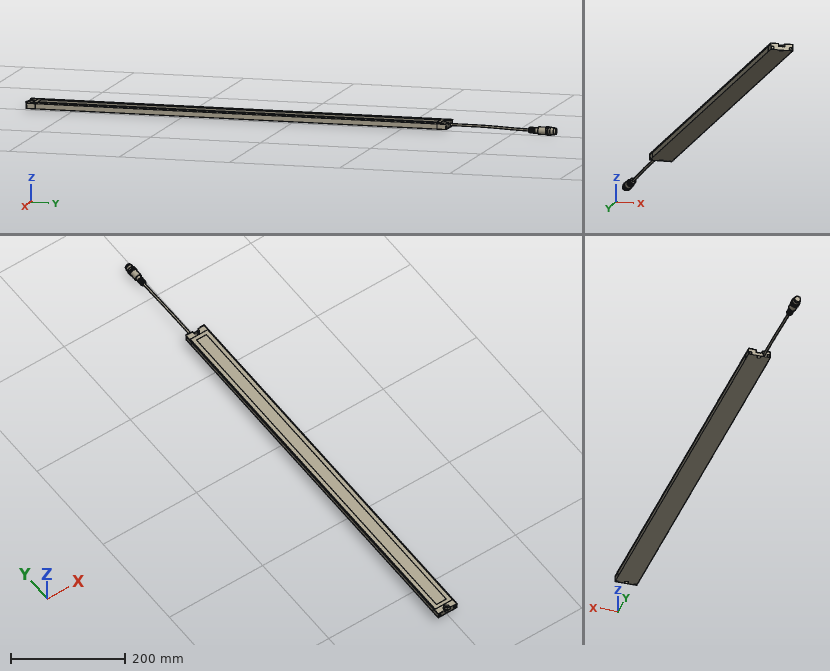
import cadquery as cq

BAR_WIDTH = 40.0
BAR_LENGTH = 765.0
BAR_HEIGHT = 11.5
OVERALL_LENGTH = 955.62
OVERALL_HEIGHT = 17.5
BAR_END = BAR_LENGTH / 2

LIP_THICKNESS = 0.4
LIP_END_OVERHANG = 1.0
LIP_NOTCH_WIDTH = 23.0
SIDE_GROOVE_OFFSET = 2.0
SIDE_GROOVE_END_MARGIN = 2.5

CAP_SIDE_LENGTH = 17.5
SEAM_WIDTH = 0.3
SEAM_DEPTH = 0.15

CAP_TOP_LENGTH = 12.5
RIM_WIDTH = 1.5
COVER_DEPTH = 0.3

WINDOW_WIDTH = 21.0
WINDOW_END_MARGIN = 20.0
WINDOW_DEPTH = 0.3

HOLE_DIAMETER = 6.8
HOLE_END_DISTANCE = 5.0
SEAT_WIDTH = 11.5
SEAT_REACH = 10.0
SEAT_DEPTH = 5.0

SCREW_DIAMETER = 5.0
SCREW_SPACING = 33.0
SCREW_HEIGHT = 3.4
SCREW_DEPTH = 1.5

CABLE_X = -8.5
CABLE_DIAMETER = 4.0
CABLE_EXIT_HEIGHT = 4.2
CABLE_STRAIGHT = 45.0
CABLE_INSERTION = 5.0

FLANGE_DIAMETER = 15.0
PLUG_HEAD_SECTIONS = (
    (3.6, 11.0),
    (6.0, 13.0),
    (3.5, FLANGE_DIAMETER),
    (2.0, 13.0),
    (2.5, FLANGE_DIAMETER),
    (14.0, 13.5),
    (5.8, 10.0),
)

RIB_COUNT = 3
RIB_LENGTH = 1.9
RIB_DIAMETER = 10.5
RIB_CORE_DIAMETER = 9.0
RIB_SECTIONS = ((RIB_LENGTH, RIB_DIAMETER), (RIB_LENGTH, RIB_CORE_DIAMETER)) * RIB_COUNT
PLUG_SECTIONS = PLUG_HEAD_SECTIONS + RIB_SECTIONS

PLUG_END = OVERALL_LENGTH - BAR_END
PLUG_AXIS_HEIGHT = BAR_HEIGHT - OVERALL_HEIGHT + FLANGE_DIAMETER / 2


def block(width, length, bottom, top):
    """Box centred in X and Y between two heights."""
    return cq.Workplane("XY", origin=(0, 0, bottom)).rect(width, length).extrude(top - bottom)


def rod(x, y, z, length, diameter):
    """Cylinder along +Y from the point (x, y, z)."""
    plane = cq.Plane(origin=(x, y, z), xDir=(1, 0, 0), normal=(0, 1, 0))
    return cq.Workplane(plane).circle(diameter / 2).extrude(length)


def make_housing():
    """Bar body with notched end overhangs, side grooves, sunk cover and recessed window."""
    lip_bottom = BAR_HEIGHT - LIP_THICKNESS
    body_length = BAR_LENGTH - 2 * LIP_END_OVERHANG
    body = block(BAR_WIDTH, body_length, 0, BAR_HEIGHT)
    lip = block(BAR_WIDTH, BAR_LENGTH, lip_bottom, BAR_HEIGHT)
    notch = block(LIP_NOTCH_WIDTH, BAR_LENGTH, lip_bottom, BAR_HEIGHT)

    cover_width = BAR_WIDTH - 2 * RIM_WIDTH
    cover_length = BAR_LENGTH - 2 * CAP_TOP_LENGTH
    cover_top = BAR_HEIGHT - COVER_DEPTH
    cover_recess = block(cover_width, cover_length, cover_top, BAR_HEIGHT)
    window_length = BAR_LENGTH - 2 * WINDOW_END_MARGIN
    window = block(WINDOW_WIDTH, window_length, cover_top - WINDOW_DEPTH, BAR_HEIGHT)

    groove_top = BAR_HEIGHT - SIDE_GROOVE_OFFSET
    groove_bottom = groove_top - SEAM_WIDTH
    groove_length = BAR_LENGTH - 2 * SIDE_GROOVE_END_MARGIN
    groove = block(BAR_WIDTH, groove_length, groove_bottom, groove_top)
    groove_core = block(BAR_WIDTH - 2 * SEAM_DEPTH, groove_length, groove_bottom, groove_top)
    groove = groove.cut(groove_core)
    return lip.cut(notch).union(body).cut(cover_recess).cut(window).cut(groove)


def mounting_hole(side):
    """Through hole and the round-bottomed screw-head seat above it, for one end."""
    hole_y = side * (BAR_END - HOLE_END_DISTANCE)
    hole = cq.Workplane("XY", origin=(0, hole_y, 0)).circle(HOLE_DIAMETER / 2).extrude(BAR_HEIGHT)
    seat = (
        cq.Workplane("XY", origin=(0, side * BAR_END, BAR_HEIGHT - SEAT_DEPTH))
        .slot2D(2 * SEAT_REACH, SEAT_WIDTH, 90)
        .extrude(SEAT_DEPTH)
    )
    return hole.union(seat)


def cap_seams(side):
    """Fine grooves on the two sides where an end cap meets the profile."""
    seam_y = side * (BAR_END - CAP_SIDE_LENGTH)
    seam_top = BAR_HEIGHT - SIDE_GROOVE_OFFSET
    core = block(BAR_WIDTH - 2 * SEAM_DEPTH, SEAM_WIDTH, 0, seam_top)
    seams = block(BAR_WIDTH, SEAM_WIDTH, 0, seam_top).cut(core)
    return seams.translate((0, seam_y, 0))


def screw_recesses(side):
    """Pair of blind round recesses in one end face."""
    face_y = side * (BAR_END - LIP_END_OVERHANG)
    start_y = face_y - SCREW_DEPTH
    length = 2 * SCREW_DEPTH
    left = rod(-SCREW_SPACING / 2, start_y, SCREW_HEIGHT, length, SCREW_DIAMETER)
    right = rod(SCREW_SPACING / 2, start_y, SCREW_HEIGHT, length, SCREW_DIAMETER)
    return left.union(right)


def make_plug():
    """Round plug stacked from its sections, and the Y where its tail ends."""
    plug = cq.Workplane("XY")
    y = PLUG_END
    for length, diameter in PLUG_SECTIONS:
        y -= length
        plug = plug.union(rod(CABLE_X, y, PLUG_AXIS_HEIGHT, length, diameter))
    return plug, y


def make_cable(tail_y):
    """Cable from inside the bar to inside the plug tail."""
    start_y = BAR_END - CABLE_INSERTION
    bend_y = BAR_END + CABLE_STRAIGHT
    plug_y = tail_y + CABLE_INSERTION
    path = (
        cq.Workplane("YZ", origin=(CABLE_X, 0, 0))
        .moveTo(start_y, CABLE_EXIT_HEIGHT)
        .lineTo(bend_y, CABLE_EXIT_HEIGHT)
        .spline([(plug_y, PLUG_AXIS_HEIGHT)], tangents=[(1, 0), (1, 0)], includeCurrent=True)
    )
    plane = cq.Plane(
        origin=(CABLE_X, start_y, CABLE_EXIT_HEIGHT), xDir=(1, 0, 0), normal=(0, 1, 0)
    )
    return cq.Workplane(plane).circle(CABLE_DIAMETER / 2).sweep(path)


housing = make_housing()
for end_side in (-1, 1):
    housing = housing.cut(mounting_hole(end_side))
    housing = housing.cut(cap_seams(end_side))
    housing = housing.cut(screw_recesses(end_side))

plug, plug_tail_y = make_plug()
result = housing.union(make_cable(plug_tail_y)).union(plug)